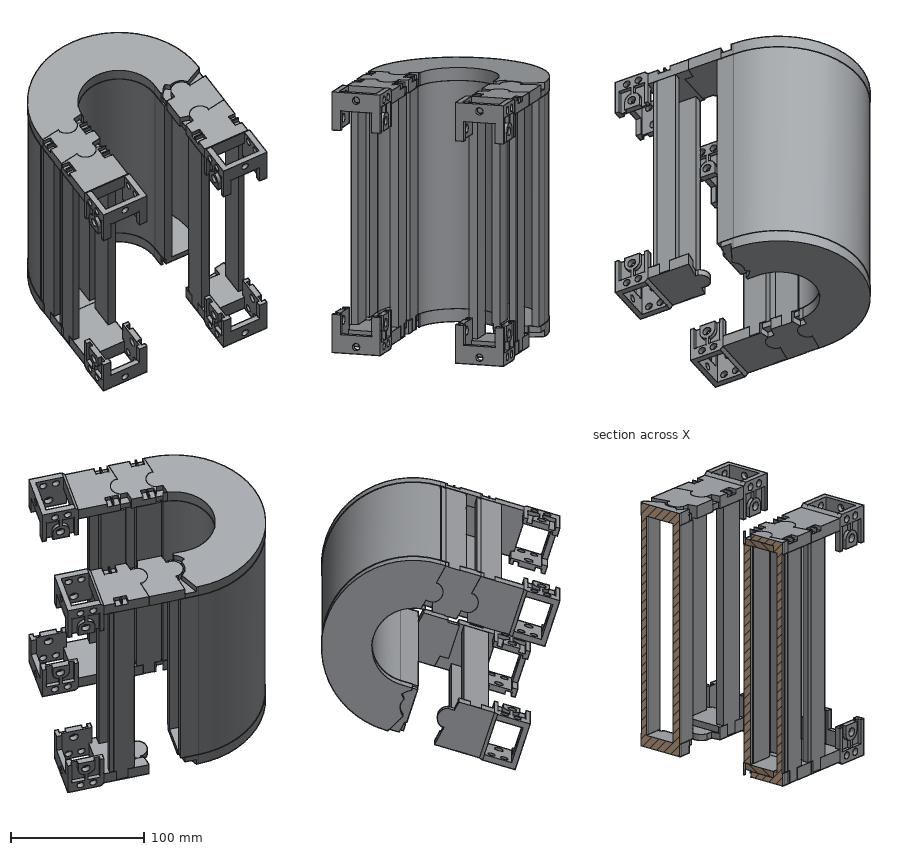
import cadquery as cq
import math


outer_radius = 69.0
inner_radius = 31.0
arm_mid = (outer_radius + inner_radius) / 2
plate_thickness = 10.0
end_plate_inset = 0.15
plate_top = 97.7
plate_bottom = plate_top - plate_thickness
half_lap = plate_thickness / 2

pitch = 27.8
lower_hinge = 0.8
upper_hinge = 13.9

hinge_y = -46.3
tongue_radius = 7.9
tongue_root_y = -53.8
tongue_root_x = 0.6
joint_outer_x = 3.3
notch_floor_y = -38.4
notch_floor_left = -2.8
notch_floor_right = 2.3
notch_mouth_left = -4.2
notch_mouth_right = 4.5
region_length = 60.0

lip_inner_y = -32.6
lip_outer_y = -60.0
link_lip_reach = 5.0
bend_lip_reach = 0.0
lip_root = 10.0

relief_radius = 9.3
relief_outer_x = 12.2
relief_root_y = -54.3
relief_pocket_start = (8.2, -41.4)
relief_pocket_corner = (10.9, -38.3)
relief_pocket_middle = (8.3, -35.2)
relief_pocket_end = (4.7, -33.0)

bar_start = 0.3
bar_end = 19.6
bar_step_x = 3.5
bar_step = 0.3
bar_inset = 0.3
wall_inset = 0.4
outer_bar_depth = 5.8
inner_bar_depth = 6.9

seat_pockets = ((4.6, 9.4), (10.4, 14.7))
seat_pocket_height = 3.4
tab_start = 5.7
tab_end = 14.5
tab_recess = bar_inset
end_tab_rim = 0.8

lower_bracket_x = 65.9
upper_bracket_x = 73.8
bracket_length = 28.2
bracket_top = 100.2
bracket_height = 29.4
bracket_chamfer = 2.5
bracket_wall = 4.6
crosslip_length = 2.5
end_wall_thickness = 4.2
end_wall_height = 14.2
corner_post_width = 2.0
small_hole_diameter = 5.6
small_hole_xs = (8.2, 18.2)
small_hole_z = 94.7
large_hole_diameter = 6.6
large_hole_x = 14.0
large_hole_z = 77.7
recess_start = 2.9
recess_end = 25.0
recess_top = 90.3
recess_depth = 3.0
pad_radius = 6.5
pad_x = 13.5
pad_neck_width = 2.4


def box(x0, x1, y0, y1, z0, z1):
    return cq.Workplane("XY").box(x1 - x0, y1 - y0, z1 - z0, centered=False).translate((x0, y0, z0))


def y_cylinder(x, z, diameter, y0, y1):
    return cq.Workplane("XZ").center(x, z).circle(diameter / 2).extrude(y0 - y1).translate((0, y0, 0))


def turned(body):
    """Half a turn about Z, from the lower arm to the upper arm."""
    return body.rotate((0, 0, 0), (0, 0, 1), 180)


def flipped(body):
    """Mirror from the top of the chain to its bottom."""
    return body.mirror("XY")


def extruded(outline, z0, z1):
    return outline.close().extrude(z1 - z0).translate((0, 0, z0))


def arm_plate(x0, x1, inset=0.0):
    return box(x0, x1, -outer_radius + inset, -inner_radius - inset, plate_bottom, plate_top)


def socket_region(hinge, lip_reach):
    """Everything on the socket's side of a joint, with the lip under the tongue."""
    rise = tongue_root_y - hinge_y
    arc_end = (hinge + math.sqrt(tongue_radius**2 - rise**2), tongue_root_y)
    outline = (
        cq.Workplane("XY")
        .moveTo(hinge + region_length, -inner_radius)
        .lineTo(hinge + notch_mouth_right, -inner_radius)
        .lineTo(hinge + notch_floor_right, notch_floor_y)
        .threePointArc((hinge + tongue_radius, hinge_y), arc_end)
        .lineTo(hinge + tongue_root_x, tongue_root_y)
        .lineTo(hinge + joint_outer_x, -outer_radius)
        .lineTo(hinge + region_length, -outer_radius)
    )
    region = extruded(outline, plate_bottom, plate_top)
    lip_top = plate_top - half_lap
    lip = box(hinge - lip_reach, hinge + lip_root, lip_outer_y, lip_inner_y, plate_bottom, lip_top)
    return region.union(lip)


def notch(hinge):
    """Open notch beside the tongue, on the inner edge of the arm."""
    outline = cq.Workplane("XY").polyline([
        (hinge + notch_mouth_left, -inner_radius),
        (hinge + notch_floor_left, notch_floor_y),
        (hinge + notch_floor_right, notch_floor_y),
        (hinge + notch_mouth_right, -inner_radius),
    ])
    return extruded(outline, plate_bottom, plate_top)


def tongue_cut(hinge, lip_reach):
    """What a plate loses where its tongue meets the next socket."""
    return socket_region(hinge, lip_reach).union(notch(hinge))


def bend_relief(hinge):
    """Upper-layer clearance in the bend around the tongue of the upper link plate."""
    rise = relief_root_y - hinge_y
    arc_start = (hinge + math.sqrt(relief_radius**2 - rise**2), relief_root_y)
    start_x, start_y = relief_pocket_start
    outline = (
        cq.Workplane("XY")
        .moveTo(hinge - lip_root, -outer_radius)
        .lineTo(hinge + relief_outer_x, -outer_radius)
        .lineTo(*arc_start)
        .threePointArc((hinge + relief_radius, hinge_y), (hinge + start_x, start_y))
        .lineTo(hinge + relief_pocket_corner[0], relief_pocket_corner[1])
        .threePointArc(
            (hinge + relief_pocket_middle[0], relief_pocket_middle[1]),
            (hinge + relief_pocket_end[0], relief_pocket_end[1]),
        )
        .lineTo(hinge + relief_pocket_end[0], -inner_radius)
        .lineTo(hinge - lip_root, -inner_radius)
    )
    return extruded(outline, plate_top - half_lap, plate_top)


def crossbars(hinge):
    """Outer and inner crossbar, the outer one with a shallow step under the neighbour's tongue."""
    outer_y = -outer_radius + bar_inset
    inner_y = -inner_radius - bar_inset
    x0 = hinge + bar_start
    x1 = hinge + bar_end
    z0, z1 = -plate_bottom, plate_bottom
    outer = box(x0, x1, outer_y, -outer_radius + outer_bar_depth, z0, z1)
    outer = outer.cut(box(x0, hinge + bar_step_x, outer_y, outer_y + bar_step, z0, z1))
    inner = box(x0, x1, -inner_radius - inner_bar_depth, inner_y, z0, z1)
    return outer.union(inner)


def cut_seats(body, hinge, tab_rim):
    """Pockets in the top plate and shallow tab recesses in the bottom plate, on both edges."""
    edges = (
        (-outer_radius, -outer_radius + outer_bar_depth, -outer_radius, -outer_radius + tab_recess),
        (-inner_radius - inner_bar_depth, -inner_radius, -inner_radius - tab_recess, -inner_radius),
    )
    pocket_floor = plate_top - seat_pocket_height
    for pocket_y0, pocket_y1, tab_y0, tab_y1 in edges:
        for x0, x1 in seat_pockets:
            pocket = box(hinge + x0, hinge + x1, pocket_y0, pocket_y1, pocket_floor, plate_top)
            body = body.cut(pocket)
        tab = box(hinge + tab_start, hinge + tab_end, tab_y0, tab_y1, -plate_top + tab_rim, -plate_bottom)
        body = body.cut(tab)
    return body


def wall_recess(x0):
    """Recess of a bracket side wall round the arched pad of the large hole, with its face at Y = 0."""
    floor_z = bracket_top - bracket_height
    recess = box(x0 + recess_start, x0 + recess_end, 0, recess_depth, floor_z, recess_top)
    mid_x = x0 + pad_x
    half_neck = pad_neck_width / 2
    neck = box(mid_x - half_neck, mid_x + half_neck, 0, recess_depth, floor_z, recess_top)
    pad = box(mid_x - pad_radius, mid_x + pad_radius, 0, recess_depth, floor_z, large_hole_z)
    arch = y_cylinder(mid_x, large_hole_z, 2 * pad_radius, 0, recess_depth)
    return recess.cut(neck).cut(pad).cut(arch)


def top_bracket(x0):
    """Open box at the end of the lower arm, above and below its top plate."""
    x1 = x0 + bracket_length
    y0, y1 = -outer_radius, -inner_radius
    floor_z = bracket_top - bracket_height
    body = box(x0, x1, y0, y1, floor_z, bracket_top)
    body = body.edges("<X and >Z").chamfer(bracket_chamfer)
    inside_y0, inside_y1 = y0 + bracket_wall, y1 - bracket_wall
    body = body.cut(
        box(x0 + crosslip_length, x1 - end_wall_thickness, inside_y0, inside_y1, floor_z, bracket_top)
    )
    body = body.cut(box(x0, x0 + crosslip_length, inside_y0, inside_y1, floor_z, plate_bottom))
    post_y0, post_y1 = inside_y0 + corner_post_width, inside_y1 - corner_post_width
    end_wall_floor = bracket_top - end_wall_height
    body = body.cut(box(x1 - end_wall_thickness, x1, post_y0, post_y1, floor_z, end_wall_floor))

    recess = wall_recess(x0)
    body = body.cut(recess.translate((0, y0, 0)))
    body = body.cut(recess.translate((0, y1 - recess_depth, 0)))

    for hole_x in small_hole_xs:
        body = body.cut(y_cylinder(x0 + hole_x, small_hole_z, small_hole_diameter, y0, y1))
    body = body.cut(y_cylinder(x0 + large_hole_x, large_hole_z, large_hole_diameter, y0, y1))
    end_hole = (
        cq.Workplane("YZ").center(-arm_mid, small_hole_z).circle(small_hole_diameter / 2)
        .extrude(end_wall_thickness).translate((x1 - end_wall_thickness, 0, 0))
    )
    return body.cut(end_hole)


def half_ring(outside, inside, z0, z1):
    ring = cq.Workplane("XY").circle(outside).circle(inside).extrude(z1 - z0).translate((0, 0, z0))
    return ring.cut(box(0, outside, -outside, outside, z0, z1))


def bend_wall(outside, inside):
    """One wall round the bend, running straight on along the upper arm to its hinge."""
    z0, z1 = -plate_bottom, plate_bottom
    wall = half_ring(outside, inside, z0, z1)
    return wall.union(box(0, upper_hinge, inside, outside, z0, z1))


def make_bend():
    lower_end = arm_plate(0, lower_hinge + lip_root).cut(tongue_cut(lower_hinge, link_lip_reach))
    upper_end = arm_plate(-upper_hinge - lip_root, 0)
    upper_end = upper_end.intersect(socket_region(-upper_hinge, bend_lip_reach))
    upper_end = upper_end.cut(bend_relief(-upper_hinge))
    plate = half_ring(outer_radius, inner_radius, plate_bottom, plate_top)
    plate = plate.cut(tongue_cut(lower_hinge, link_lip_reach))
    plate = plate.union(lower_end).union(turned(upper_end))
    outer_wall = bend_wall(outer_radius - wall_inset, outer_radius - outer_bar_depth)
    inner_wall = bend_wall(inner_radius + inner_bar_depth, inner_radius + bar_inset)
    return plate.union(flipped(plate)).union(outer_wall).union(inner_wall)


def make_lower_link():
    hinge = lower_hinge
    plate = arm_plate(hinge - lip_root, hinge + pitch + lip_root)
    plate = plate.intersect(socket_region(hinge, link_lip_reach))
    plate = plate.cut(tongue_cut(hinge + pitch, link_lip_reach))
    link = plate.union(flipped(plate)).union(crossbars(hinge))
    return cut_seats(link, hinge, 0)


def make_lower_end_link():
    hinge = lower_hinge + pitch
    plate = arm_plate(hinge - lip_root, lower_bracket_x, end_plate_inset)
    plate = plate.intersect(socket_region(hinge, link_lip_reach))
    plate = plate.union(top_bracket(lower_bracket_x))
    link = plate.union(flipped(plate)).union(crossbars(hinge))
    return cut_seats(link, hinge, end_tab_rim)


def make_upper_link_plate():
    tongue_hinge = -upper_hinge
    socket_hinge = tongue_hinge - pitch
    plate = arm_plate(socket_hinge - lip_root, tongue_hinge + lip_root)
    plate = plate.intersect(socket_region(socket_hinge, link_lip_reach))
    return turned(plate.cut(tongue_cut(tongue_hinge, bend_lip_reach)))


def make_upper_end_link():
    tongue_hinge = -upper_hinge - pitch
    bar_hinge = tongue_hinge - pitch
    plate = arm_plate(-upper_bracket_x, tongue_hinge + lip_root, end_plate_inset)
    plate = plate.cut(tongue_cut(tongue_hinge, link_lip_reach))
    plate = plate.union(top_bracket(upper_bracket_x).mirror("YZ"))
    link = plate.union(flipped(plate)).union(crossbars(bar_hinge))
    return turned(cut_seats(link, bar_hinge, end_tab_rim))


bend = make_bend()
lower_link = make_lower_link()
lower_end_link = make_lower_end_link()
upper_link_plate = make_upper_link_plate()
upper_end_link = make_upper_end_link()

result = cq.Compound.makeCompound([
    *bend.solids().vals(),
    *lower_link.solids().vals(),
    *lower_end_link.solids().vals(),
    *upper_link_plate.solids().vals(),
    *upper_end_link.solids().vals(),
])